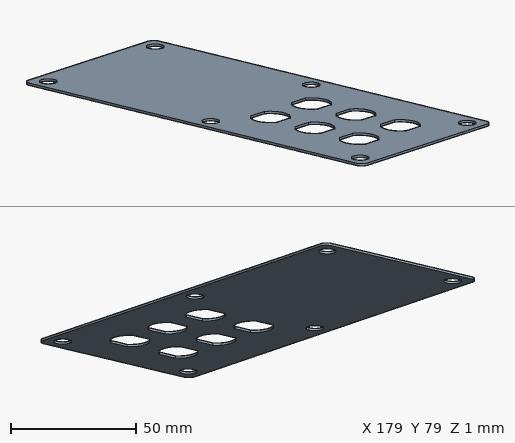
import cadquery as cq

length = 179.0
width = 79.0
thickness = 1.0
corner_radius = 3.0

hole_diameter = 7.0
hole_x = 82.3
hole_y = 32.5
lower_middle_hole_x = 3.4

cutout_diameter = 16.0
cutout_width = 13.6
cutout_pitch_x = 23.5
cutout_pitch_y = 25.0
cutout_center_x = 41.0
cutout_center_y = 0.0
cutout_columns = 3
cutout_rows = 2


def make_plate():
    plate = cq.Workplane("XY").box(length, width, thickness)
    return plate.edges("|Z").fillet(corner_radius)


def cut_mounting_holes(plate):
    corners = [(x, y) for x in (-hole_x, hole_x) for y in (-hole_y, hole_y)]
    middles = [(0, hole_y), (lower_middle_hole_x, -hole_y)]
    top = plate.faces(">Z").workplane(origin=(0, 0, 0))
    return top.pushPoints(corners + middles).hole(hole_diameter)


def make_cutout_tool():
    """Double-flat through cutter centred on the origin."""
    height = 2 * thickness
    cylinder = cq.Workplane("XY").circle(cutout_diameter / 2).extrude(height / 2, both=True)
    return cylinder.intersect(cq.Workplane("XY").box(cutout_width, cutout_diameter, height))


def cut_cutouts(plate):
    tool = make_cutout_tool()
    for column in range(cutout_columns):
        x = cutout_center_x + (column - (cutout_columns - 1) / 2) * cutout_pitch_x
        for row in range(cutout_rows):
            y = cutout_center_y + (row - (cutout_rows - 1) / 2) * cutout_pitch_y
            plate = plate.cut(tool.translate((x, y, 0)))
    return plate


result = cut_cutouts(cut_mounting_holes(make_plate()))